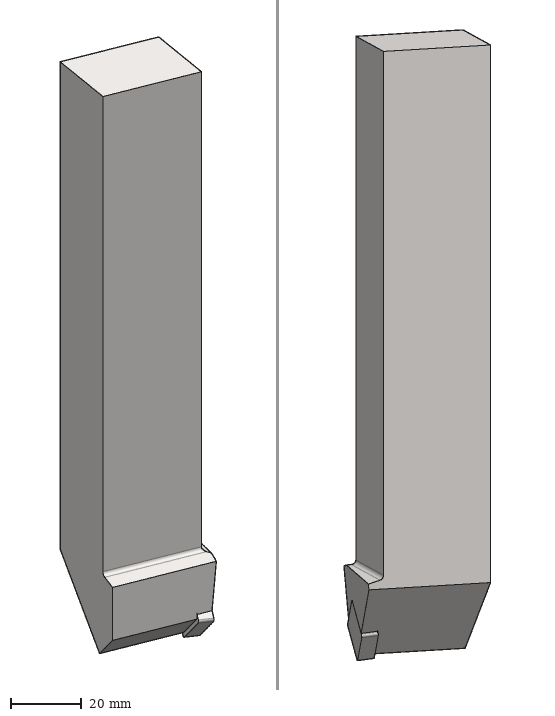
import cadquery as cq
import math

TOTAL_HEIGHT = 179.7
TOTAL_WIDTH = 32.3
TOTAL_DEPTH = 36.5

SHANK_WIDTH = 25.0
SHANK_DEPTH = 32.0
HEAD_WIDTH = 30.5
HEAD_POINT_Z = 1.8
LEFT_CORNER_Z = 24.8
LEDGE_Z = 27.7
LEDGE_ANGLE = math.radians(15)
ROOT_TANGENT = 1.0

RAKE_SLOPE = 0.09

INSERT_SIDE = 12.8
INSERT_THICKNESS = 4.9
INSERT_CORNER_RADIUS = 0.7

LEDGE_DROP = math.tan(LEDGE_ANGLE)
LEDGE_OUTER_Z = LEDGE_Z - (TOTAL_DEPTH - SHANK_DEPTH) * LEDGE_DROP
RAKE_NORMAL = cq.Vector(RAKE_SLOPE, 1, -RAKE_SLOPE).normalized()
EDGE_DIRECTION = cq.Vector(1, 0, 1)


def rake_y(x, z):
    """Y of the rake face, which starts at the rear left end of the ledge."""
    return TOTAL_DEPTH - RAKE_SLOPE * (x + LEDGE_OUTER_Z - z)


def shank_and_ledge(plane, shank_size, head_size):
    """Start an outline: down the shank side, round the root and out along the ledge."""
    return (
        cq.Workplane(plane)
        .moveTo(0, TOTAL_HEIGHT)
        .lineTo(shank_size, TOTAL_HEIGHT)
        .lineTo(shank_size, LEDGE_Z + ROOT_TANGENT)
        .tangentArcPoint(
            (
                shank_size + ROOT_TANGENT * math.cos(LEDGE_ANGLE),
                LEDGE_Z - ROOT_TANGENT * math.sin(LEDGE_ANGLE),
            ),
            relative=False,
        )
        .lineTo(head_size, LEDGE_Z - (head_size - shank_size) * LEDGE_DROP)
    )


def make_holder_blank():
    """Intersect the width outline with the depth outline, so the ledges meet in a mitre."""
    point_x = LEFT_CORNER_Z - HEAD_POINT_Z
    right_corner_z = HEAD_POINT_Z + HEAD_WIDTH - point_x
    width_form = (
        shank_and_ledge("XZ", SHANK_WIDTH, HEAD_WIDTH)
        .lineTo(HEAD_WIDTH, right_corner_z)
        .lineTo(point_x, HEAD_POINT_Z)
        .lineTo(0, LEFT_CORNER_Z)
        .close()
        .extrude(-TOTAL_DEPTH)
    )
    depth_form = (
        shank_and_ledge("YZ", SHANK_DEPTH, TOTAL_DEPTH)
        .lineTo(TOTAL_DEPTH, 0)
        .lineTo(0, 0)
        .close()
        .extrude(HEAD_WIDTH)
    )
    return width_form.intersect(depth_form)


def make_rake_waste():
    """Block lying on the rake face, taken off the back of the head."""
    origin = (0, rake_y(0, 0), 0)
    block_size = 2 * TOTAL_DEPTH + 2 * LEDGE_Z
    block = (
        cq.Workplane(cq.Plane(origin, EDGE_DIRECTION, RAKE_NORMAL))
        .rect(block_size, block_size)
        .extrude(TOTAL_DEPTH)
    )
    head_zone = (
        cq.Workplane("XY")
        .rect(2 * block_size, 2 * block_size)
        .extrude(LEDGE_Z + ROOT_TANGENT)
    )
    return block.intersect(head_zone)


def make_insert():
    """Square insert flush with the rake face, its lowest corner at Z = 0."""
    side_direction = EDGE_DIRECTION.normalized()
    other_direction = side_direction.cross(RAKE_NORMAL)
    round_offset = INSERT_SIDE / 2 - INSERT_CORNER_RADIUS
    centre_z = (
        round_offset * (abs(side_direction.z) + abs(other_direction.z))
        + INSERT_CORNER_RADIUS * math.hypot(side_direction.z, other_direction.z)
    )
    centre_x = TOTAL_WIDTH - centre_z
    centre = (centre_x, rake_y(centre_x, centre_z), centre_z)
    return (
        cq.Workplane(cq.Plane(centre, EDGE_DIRECTION, RAKE_NORMAL))
        .rect(INSERT_SIDE, INSERT_SIDE)
        .extrude(-INSERT_THICKNESS)
        .edges(cq.selectors.ParallelDirSelector(RAKE_NORMAL))
        .fillet(INSERT_CORNER_RADIUS)
    )


insert = make_insert()
holder = make_holder_blank().cut(make_rake_waste()).cut(insert)

result = cq.Compound.makeCompound([holder.val(), insert.val()])